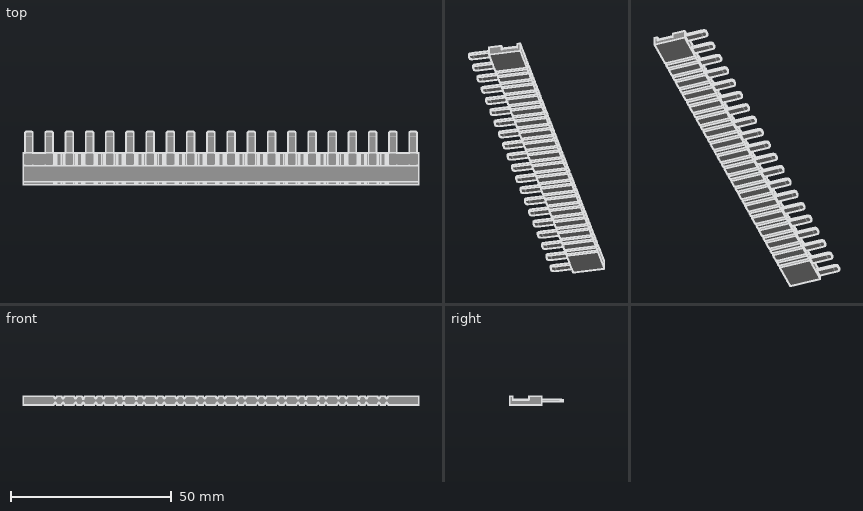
import cadquery as cq

length = 123.2
housing_depth = 10.0
height = 2.8
block_depth = 4.0
lip_depth = 1.0

groove_width = 1.0
groove_depth = 0.85
groove_pair_spacing = 2.4

strip_thickness = 0.3
pin_count = 20
pin_pitch = 6.3
pin_width = 2.5
pin_thickness = 0.8
pin_reach = 6.7
tip_length = 1.5
tip_thickness = 0.6
tip_corner = 0.45

block_front_y = housing_depth - block_depth
pin_end_y = housing_depth + pin_reach
pin_z = height / 2
strip_top_z = pin_z + pin_thickness / 2
channel_floor_z = strip_top_z - strip_thickness
first_pin_x = -(pin_count - 1) * pin_pitch / 2
pin_xs = [first_pin_x + i * pin_pitch for i in range(pin_count)]
gap_xs = [x + pin_pitch / 2 for x in pin_xs[1:-2]]
groove_xs = [gap + side * groove_pair_spacing / 2 for gap in gap_xs for side in (-1, 1)]


def channel_box(bottom_z, top_z):
    """A full-length bar that fills the channel from wall to wall between two heights."""
    width = block_front_y - lip_depth
    bar = cq.Workplane("XY").box(length, width, top_z - bottom_z, centered=(True, False, False))
    return bar.translate((0, lip_depth, bottom_z))


def groove(x, surface_z, inward):
    """A V-shaped cutter along Y; `inward` is -1 for the top surface and +1 for the bottom."""
    outline = [
        (x - groove_width / 2, surface_z),
        (x, surface_z + inward * groove_depth),
        (x + groove_width / 2, surface_z),
    ]
    return cq.Workplane("XZ").polyline(outline).close().extrude(-housing_depth)


def pin(x):
    """A flat pin from the channel wall outwards, wedge-shaped at the tip with cut corners."""
    taper_y = pin_end_y - tip_length
    half = pin_thickness / 2
    half_tip = tip_thickness / 2
    side_outline = [
        (block_front_y, -half),
        (taper_y, -half),
        (pin_end_y, -half_tip),
        (pin_end_y, half_tip),
        (taper_y, half),
        (block_front_y, half),
    ]
    blade = cq.Workplane("YZ").polyline(side_outline).close().extrude(pin_width / 2, both=True)
    plan = (
        cq.Workplane("XY")
        .box(pin_width, pin_end_y - block_front_y, pin_thickness, centered=(True, False, True))
        .edges("|Z and >Y")
        .chamfer(tip_corner)
        .translate((0, block_front_y, 0))
    )
    return blade.intersect(plan).translate((x, 0, pin_z))


def make_comb():
    comb = channel_box(channel_floor_z, strip_top_z)
    for x in pin_xs:
        comb = comb.union(pin(x))
    return comb


def make_housing(comb):
    housing = cq.Workplane("XY").box(length, housing_depth, height, centered=(True, False, False))
    for x in groove_xs:
        housing = housing.cut(groove(x, height, -1))
        housing = housing.cut(groove(x, 0, 1))
    housing = housing.cut(channel_box(channel_floor_z, height))
    return housing.cut(comb)


comb = make_comb()
housing = make_housing(comb)

result = cq.Compound.makeCompound([housing.val(), comb.val()])